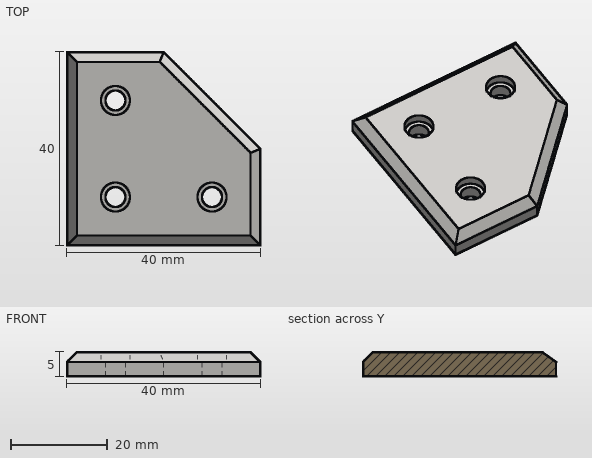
import cadquery as cq

side = 40.0
thickness = 5.0
corner_cut = side / 2
edge_chamfer = 2.0

hole_inset = 10.0
hole_spacing = 20.0
hole_diameter = 4.1
counterbore_diameter = 6.0
counterbore_depth = 2.0


def make_plate():
    """Square plate with its +X +Y corner cut off and its top rim chamfered."""
    outline = [
        (0, 0),
        (side, 0),
        (side, side - corner_cut),
        (side - corner_cut, side),
        (0, side),
    ]
    plate = cq.Workplane("XY").polyline(outline).close().extrude(thickness)
    return plate.faces(">Z").edges().chamfer(edge_chamfer)


def cut_screw_holes(plate):
    """Counterbored through holes, one in each of the three square corners."""
    far_position = hole_inset + hole_spacing
    hole_centers = [
        (hole_inset, hole_inset),
        (far_position, hole_inset),
        (hole_inset, far_position),
    ]
    top_plane = cq.Workplane("XY", origin=(0, 0, thickness))
    through_holes = top_plane.pushPoints(hole_centers).circle(hole_diameter / 2).extrude(-thickness)
    counterbores = (
        top_plane.pushPoints(hole_centers).circle(counterbore_diameter / 2).extrude(-counterbore_depth)
    )
    return plate.cut(through_holes).cut(counterbores)


result = cut_screw_holes(make_plate())